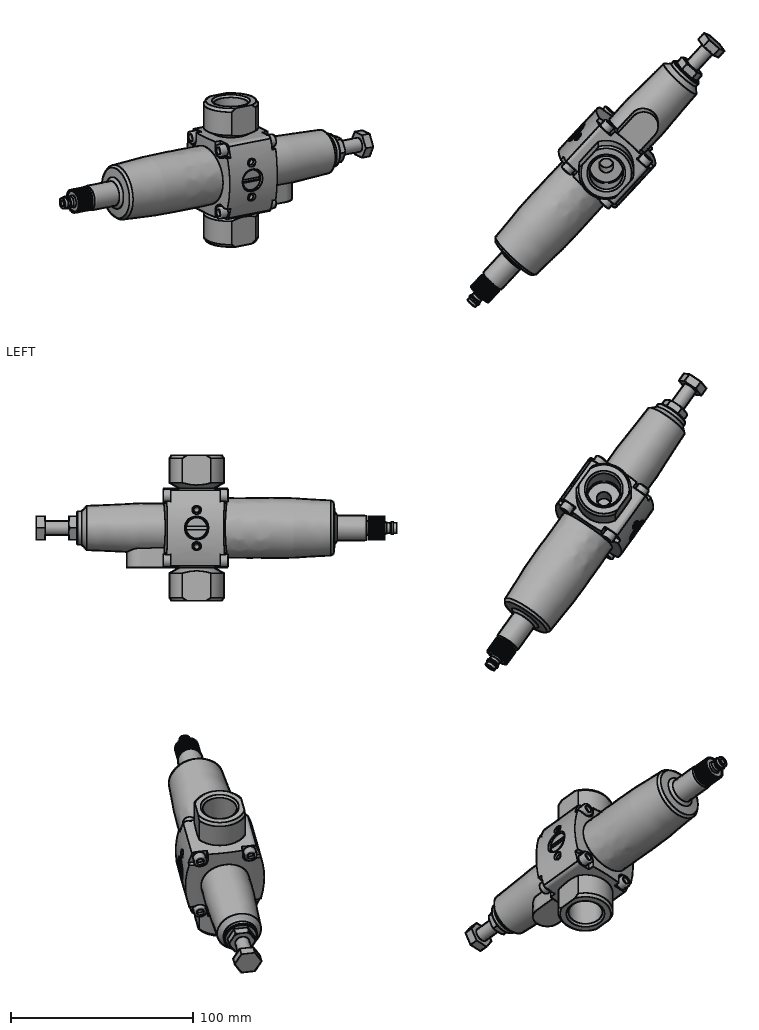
import cadquery as cq
import math


BLOCK_CENTRE_Y = 0.5
BLOCK_HALF_LENGTH = 17.5
END_FACE_SAG = 2.0
BLOCK_HALF_WIDTH = 22.0
BLOCK_HALF_HEIGHT = 21.8
TOP_HALF_WIDTH = 15.5
CORNER_HALF_WIDTH = 18.0
CORNER_DROP = 1.2

PORT_RADIUS = 15.0
PORT_END_Z = 40.0
PORT_LIP_LENGTH = 1.8
PORT_LIP_STEP = 1.2
PORT_CONE_Z = 24.8
PORT_NECK_RADIUS = 9.7
PORT_FLAT_HALF_WIDTH = 12.9
PORT_BORE_RADIUS = 9.3
PORT_MOUTH_RADIUS = 10.5
PORT_FLOOR_Z = 19.8
PASSAGE_RADIUS = 4.0
PASSAGE_FLOOR_Z = 6.0

SCREW_X = 14.0
SCREW_Z = 17.8
SCREW_HEAD_RADIUS = 7.0 / 2
SCREW_HEAD_TOP = 17.8
SCREW_HEAD_ROUND = 0.4
SCREW_SOCKET_RADIUS = 2.0
SCREW_SOCKET_DEPTH = 2.0
POCKET_RADIUS = 4.4
POCKET_FLOOR = 13.7
POCKET_OUTER_Z = 14.7

PLUG_RADIUS = 5.7
PLUG_FACE_X = 21.0
PLUG_LENGTH = 8.0
GAUGE_MOUTH_RADIUS = 6.5
SLOT_WIDTH = 1.8
SLOT_DEPTH = 1.5
SIDE_HOLE_Z = 10.1
SIDE_HOLE_RADIUS = 1.5
SIDE_HOLE_MOUTH_RADIUS = 5.0 / 2
SIDE_HOLE_DEPTH = 4.0

BONNET_RADIUS = 13.7
BONNET_END_RADIUS = 13.5
BONNET_TAPER_Y = 34.0
BONNET_SHOULDER_Y = 60.2
BONNET_SHOULDER_RADIUS = 12.3
BONNET_CONE_Y = 62.0
BONNET_CONE_RADIUS = 10.3
COLLAR_RADIUS = 9.3
COLLAR_BASE_Y = 63.2
COLLAR_TOP_Y = 65.8
COLLAR_CHAMFER = 0.5
PAD_CENTRE_Y = 30.5
PAD_RADIUS = 8.0

HEX_ACROSS_FLATS = 13.0
SCREW_TOP_Y = 88.1
SCREW_HEX_HEIGHT = 5.0
SHANK_RADIUS = 4.0
SHANK_END_Y = 54.3
NUT_HEIGHT = 4.4
NUT_CHAMFER_RADIUS = 7.0
NUT_CHAMFER_HEIGHT = 0.5

BOWL_RADIUS = 16.6
BOWL_END_RADIUS = 16.5
BOWL_TAPER_Y = -53.3
BOWL_SHOULDER_Y = -73.7
BOWL_SHOULDER_RADIUS = 15.3
BOWL_FACE_Y = -75.3
BOWL_FACE_RADIUS = 14.0
STEM_FILLET_RADIUS = 9.0
STEM_FILLET_Y = -75.9
STEM_RADIUS = 7.0
STEM_START_Y = -77.3
STEM_CHAMFER_Y = -91.7
STEM_CHAMFER = 0.2
STEM_END_Y = -93.0

DRAIN_NECK_RADIUS = 4.0
DRAIN_NECK_INSERTION = 6.0
KNURL_START_Y = -94.3
KNURL_END_Y = -103.2
KNURL_RADIUS = 6.5
KNURL_ROOT_RADIUS = 5.7
KNURL_TEETH = 48
KNURL_GROOVE_Y = -99.0
KNURL_GROOVE_WIDTH = 0.5
DRAIN_COLLAR_RADIUS = 7.0 / 2
DRAIN_COLLAR_END_Y = -104.4
NIPPLE_RADIUS = 3.0
NIPPLE_NECK_RADIUS = 5.0 / 2
NIPPLE_NECK_Y = -106.2
BARB_RADIUS = 7.0 / 2
BARB_START_Y = -106.8
BARB_END_Y = -108.0
NIPPLE_END_Y = -110.0
DRAIN_BORE_RADIUS = 0.75
DRAIN_BORE_DEPTH = 6.0
DRAIN_MOUTH_RADIUS = 1.5
DRAIN_MOUTH_DEPTH = 2.0

SIDES = (-1, 1)


def turned_about_y(points):
    """Solid of revolution about Y; each point is (radius, y)."""
    return cq.Workplane("XY").polyline(points).close().revolve(360, (0, 0), (0, 1))


def cylinder_along_y(radius, y_start, y_end, x=0, z=0):
    start = cq.Vector(x, y_start, z)
    direction = cq.Vector(0, math.copysign(1, y_end - y_start), 0)
    return cq.Workplane(cq.Solid.makeCylinder(radius, abs(y_end - y_start), start, direction))


def hexagon_along_y(y_top, height):
    """Hexagonal prism with two corners on the X axis, reaching down from y_top."""
    corner_diameter = HEX_ACROSS_FLATS / math.cos(math.pi / 6)
    return cq.Workplane("XZ", origin=(0, y_top, 0)).polygon(6, corner_diameter).extrude(height)



def housing_block():
    """Barrel-sided section along Y, limited by end faces that curve about Z."""
    corner_z = BLOCK_HALF_HEIGHT - CORNER_DROP
    bend_x = (TOP_HALF_WIDTH + 2 * CORNER_HALF_WIDTH) / 3
    bend_z = BLOCK_HALF_HEIGHT - CORNER_DROP / 3
    section = (
        cq.Workplane("XZ", origin=(0, BLOCK_CENTRE_Y, 0))
        .moveTo(-TOP_HALF_WIDTH, BLOCK_HALF_HEIGHT)
        .lineTo(TOP_HALF_WIDTH, BLOCK_HALF_HEIGHT)
        .threePointArc((bend_x, bend_z), (CORNER_HALF_WIDTH, corner_z))
        .threePointArc((BLOCK_HALF_WIDTH, 0), (CORNER_HALF_WIDTH, -corner_z))
        .threePointArc((bend_x, -bend_z), (TOP_HALF_WIDTH, -BLOCK_HALF_HEIGHT))
        .lineTo(-TOP_HALF_WIDTH, -BLOCK_HALF_HEIGHT)
        .threePointArc((-bend_x, -bend_z), (-CORNER_HALF_WIDTH, -corner_z))
        .threePointArc((-BLOCK_HALF_WIDTH, 0), (-CORNER_HALF_WIDTH, corner_z))
        .threePointArc((-bend_x, bend_z), (-TOP_HALF_WIDTH, BLOCK_HALF_HEIGHT))
        .close()
        .extrude(BLOCK_HALF_LENGTH, both=True)
    )
    side_y = BLOCK_HALF_LENGTH - END_FACE_SAG
    plan = (
        cq.Workplane("XY", origin=(0, BLOCK_CENTRE_Y, 0))
        .moveTo(-BLOCK_HALF_WIDTH, -side_y)
        .threePointArc((0, -BLOCK_HALF_LENGTH), (BLOCK_HALF_WIDTH, -side_y))
        .lineTo(BLOCK_HALF_WIDTH, side_y)
        .threePointArc((0, BLOCK_HALF_LENGTH), (-BLOCK_HALF_WIDTH, side_y))
        .close()
        .extrude(BLOCK_HALF_HEIGHT, both=True)
    )
    return section.intersect(plan)


def port(side):
    """Round port with two spanner flats, joined to the block by a cone."""
    outline = [
        (0, 0),
        (PORT_NECK_RADIUS, 0),
        (PORT_NECK_RADIUS, BLOCK_HALF_HEIGHT),
        (PORT_RADIUS, PORT_CONE_Z),
        (PORT_RADIUS, PORT_END_Z - PORT_LIP_LENGTH),
        (PORT_RADIUS - PORT_LIP_STEP, PORT_END_Z),
        (0, PORT_END_Z),
    ]
    body = cq.Workplane("XZ").polyline(outline).close().revolve(360, (0, 0), (0, 1))
    flats = cq.Workplane("XY").box(2 * PORT_FLAT_HALF_WIDTH, 2 * PORT_RADIUS, 2 * PORT_END_Z)
    body = body.intersect(flats)
    return body if side > 0 else body.mirror("XY")


def port_bore(side):
    """Stepped blind bore with a chamfered mouth."""
    mouth_z = PORT_END_Z - (PORT_MOUTH_RADIUS - PORT_BORE_RADIUS)
    outline = [
        (0, PASSAGE_FLOOR_Z),
        (PASSAGE_RADIUS, PASSAGE_FLOOR_Z),
        (PASSAGE_RADIUS, PORT_FLOOR_Z),
        (PORT_BORE_RADIUS, PORT_FLOOR_Z),
        (PORT_BORE_RADIUS, mouth_z),
        (PORT_MOUTH_RADIUS, PORT_END_Z),
        (0, PORT_END_Z),
    ]
    bore = cq.Workplane("XZ").polyline(outline).close().revolve(360, (0, 0), (0, 1))
    return bore if side > 0 else bore.mirror("XY")


def corner_pocket(end, x_side, z_side):
    """Recess round a screw head, open towards the nearest corner of the block."""
    floor_y = BLOCK_CENTRE_Y + end * POCKET_FLOOR
    rim_y = BLOCK_CENTRE_Y + end * (BLOCK_HALF_LENGTH + 2)
    x = x_side * SCREW_X
    recess = cylinder_along_y(POCKET_RADIUS, floor_y, rim_y, x, z_side * SCREW_Z)
    depth = abs(rim_y - floor_y)
    middle_y = (floor_y + rim_y) / 2
    side_width = BLOCK_HALF_WIDTH - SCREW_X
    side_height = BLOCK_HALF_HEIGHT - POCKET_OUTER_Z
    side_opening = cq.Workplane("XY").box(side_width, depth, side_height).translate((
        x + x_side * side_width / 2,
        middle_y,
        z_side * (POCKET_OUTER_Z + side_height / 2),
    ))
    upper_height = BLOCK_HALF_HEIGHT - SCREW_Z
    upper_opening = cq.Workplane("XY").box(2 * POCKET_RADIUS, depth, upper_height).translate((
        x,
        middle_y,
        z_side * (SCREW_Z + upper_height / 2),
    ))
    return recess.union(side_opening).union(upper_opening)


def screw_head(end, x_side, z_side):
    """Round-edged socket head standing on the floor of its pocket."""
    floor_y = BLOCK_CENTRE_Y + end * POCKET_FLOOR
    top_y = BLOCK_CENTRE_Y + end * SCREW_HEAD_TOP
    x = x_side * SCREW_X
    z = z_side * SCREW_Z
    head = cylinder_along_y(SCREW_HEAD_RADIUS, floor_y, top_y, x, z)
    head = head.faces(">Y" if end > 0 else "<Y").edges().fillet(SCREW_HEAD_ROUND)
    socket = cylinder_along_y(SCREW_SOCKET_RADIUS, top_y - end * SCREW_SOCKET_DEPTH, top_y, x, z)
    return head.cut(socket)


def gauge_port(side):
    """Plug hole in a barrel side, opening in a short cone outside the plug face."""
    mouth_x = PLUG_FACE_X + GAUGE_MOUTH_RADIUS - PLUG_RADIUS
    outline = [
        (PLUG_FACE_X - PLUG_LENGTH, 0),
        (PLUG_FACE_X - PLUG_LENGTH, PLUG_RADIUS),
        (PLUG_FACE_X, PLUG_RADIUS),
        (mouth_x, GAUGE_MOUTH_RADIUS),
        (BLOCK_HALF_WIDTH, GAUGE_MOUTH_RADIUS),
        (BLOCK_HALF_WIDTH, 0),
    ]
    hole = cq.Workplane("XZ").polyline(outline).close().revolve(360, (0, 0), (1, 0))
    return hole if side > 0 else hole.mirror("YZ")


def side_hole(side, z_side):
    """Small countersunk blind hole beside a gauge port, with a drill-point floor."""
    mouth_x = PLUG_FACE_X
    countersink_x = mouth_x - (SIDE_HOLE_MOUTH_RADIUS - SIDE_HOLE_RADIUS)
    floor_x = mouth_x - SIDE_HOLE_DEPTH
    outline = [
        (floor_x - SIDE_HOLE_RADIUS, 0),
        (floor_x, SIDE_HOLE_RADIUS),
        (countersink_x, SIDE_HOLE_RADIUS),
        (mouth_x, SIDE_HOLE_MOUTH_RADIUS),
        (BLOCK_HALF_WIDTH, SIDE_HOLE_MOUTH_RADIUS),
        (BLOCK_HALF_WIDTH, 0),
    ]
    hole = cq.Workplane("XZ").polyline(outline).close().revolve(360, (0, 0), (1, 0))
    hole = hole.translate((0, 0, z_side * SIDE_HOLE_Z))
    return hole if side > 0 else hole.mirror("YZ")


def make_housing():
    housing = housing_block()
    for side in SIDES:
        housing = housing.union(port(side)).cut(port_bore(side)).cut(gauge_port(side))
        for z_side in SIDES:
            housing = housing.cut(side_hole(side, z_side))
    for end in SIDES:
        for x_side in SIDES:
            for z_side in SIDES:
                housing = housing.cut(corner_pocket(end, x_side, z_side))
                housing = housing.union(screw_head(end, x_side, z_side))
    return housing



def make_plug(side):
    """Round gauge-port plug with a screwdriver slot along Y."""
    inner_face = cq.Workplane("YZ", origin=(PLUG_FACE_X - PLUG_LENGTH, 0, 0))
    plug = inner_face.circle(PLUG_RADIUS).extrude(PLUG_LENGTH)
    slot = cq.Workplane("XY").box(2 * SLOT_DEPTH, 2 * PLUG_RADIUS, SLOT_WIDTH).translate((PLUG_FACE_X, 0, 0))
    plug = plug.cut(slot)
    return plug if side > 0 else plug.mirror("YZ")


def make_bonnet():
    """Spring bonnet seated on the curved +Y end of the block, with a mounting pad below."""
    seat_y = BLOCK_CENTRE_Y + BLOCK_HALF_LENGTH
    shell = (
        cq.Workplane("XY")
        .lineTo(BONNET_END_RADIUS, 0)
        .lineTo(BONNET_END_RADIUS, seat_y)
        .threePointArc((BONNET_RADIUS, (seat_y + BONNET_TAPER_Y) / 2), (BONNET_END_RADIUS, BONNET_TAPER_Y))
        .lineTo(BONNET_SHOULDER_RADIUS, BONNET_SHOULDER_Y)
        .lineTo(BONNET_CONE_RADIUS, BONNET_CONE_Y)
        .lineTo(COLLAR_RADIUS, COLLAR_BASE_Y)
        .lineTo(COLLAR_RADIUS, COLLAR_TOP_Y - COLLAR_CHAMFER)
        .lineTo(COLLAR_RADIUS - COLLAR_CHAMFER, COLLAR_TOP_Y)
        .lineTo(0, COLLAR_TOP_Y)
        .close()
        .revolve(360, (0, 0), (0, 1))
    )
    pad = (
        cq.Workplane("XY", origin=(0, 0, -BLOCK_HALF_HEIGHT))
        .moveTo(-PAD_RADIUS, 0)
        .lineTo(PAD_RADIUS, 0)
        .lineTo(PAD_RADIUS, PAD_CENTRE_Y)
        .threePointArc((0, PAD_CENTRE_Y + PAD_RADIUS), (-PAD_RADIUS, PAD_CENTRE_Y))
        .close()
        .extrude(BLOCK_HALF_HEIGHT)
    )
    shank_hole = cylinder_along_y(SHANK_RADIUS, SHANK_END_Y, COLLAR_TOP_Y)
    return shell.union(pad).cut(housing_block()).cut(shank_hole)


def make_adjusting_screw():
    head = hexagon_along_y(SCREW_TOP_Y, SCREW_HEX_HEIGHT)
    shank = cylinder_along_y(SHANK_RADIUS, SHANK_END_Y, SCREW_TOP_Y - SCREW_HEX_HEIGHT)
    return head.union(shank)


def make_lock_nut():
    """Hexagon nut with its corners chamfered on the upper side."""
    top_y = COLLAR_TOP_Y + NUT_HEIGHT
    corner_radius = HEX_ACROSS_FLATS / 2 / math.cos(math.pi / 6)
    chamfer_limit = turned_about_y([
        (SHANK_RADIUS, COLLAR_TOP_Y),
        (corner_radius, COLLAR_TOP_Y),
        (corner_radius, top_y - NUT_CHAMFER_HEIGHT),
        (NUT_CHAMFER_RADIUS, top_y),
        (SHANK_RADIUS, top_y),
    ])
    return hexagon_along_y(top_y, NUT_HEIGHT).intersect(chamfer_limit)


def make_bowl():
    """Filter bowl seated on the curved -Y end of the block, with a drain stem."""
    seat_y = BLOCK_CENTRE_Y - BLOCK_HALF_LENGTH
    shell = (
        cq.Workplane("XY")
        .lineTo(BOWL_END_RADIUS, 0)
        .lineTo(BOWL_END_RADIUS, seat_y)
        .threePointArc((BOWL_RADIUS, (seat_y + BOWL_TAPER_Y) / 2), (BOWL_END_RADIUS, BOWL_TAPER_Y))
        .lineTo(BOWL_SHOULDER_RADIUS, BOWL_SHOULDER_Y)
        .lineTo(BOWL_FACE_RADIUS, BOWL_FACE_Y)
        .lineTo(STEM_FILLET_RADIUS, STEM_FILLET_Y)
        .lineTo(STEM_RADIUS, STEM_START_Y)
        .lineTo(STEM_RADIUS, STEM_CHAMFER_Y)
        .lineTo(STEM_RADIUS - STEM_CHAMFER, STEM_END_Y)
        .lineTo(0, STEM_END_Y)
        .close()
        .revolve(360, (0, 0), (0, 1))
    )
    neck_hole = cylinder_along_y(DRAIN_NECK_RADIUS, STEM_END_Y + DRAIN_NECK_INSERTION, STEM_END_Y)
    return shell.cut(housing_block()).cut(neck_hole)


def knurled_grip():
    """Straight-toothed grip with a ring groove between its two halves."""
    points = []
    for tooth in range(KNURL_TEETH):
        for radius, step in ((KNURL_RADIUS, tooth), (KNURL_ROOT_RADIUS, tooth + 0.5)):
            angle = 2 * math.pi * step / KNURL_TEETH
            points.append((radius * math.cos(angle), radius * math.sin(angle)))
    grip = (
        cq.Workplane("XZ", origin=(0, KNURL_START_Y, 0))
        .polyline(points)
        .close()
        .extrude(KNURL_START_Y - KNURL_END_Y)
    )
    groove_end_y = KNURL_GROOVE_Y - KNURL_GROOVE_WIDTH
    ring = cylinder_along_y(KNURL_RADIUS, KNURL_GROOVE_Y, groove_end_y)
    core = cylinder_along_y(KNURL_ROOT_RADIUS, KNURL_GROOVE_Y, groove_end_y)
    return grip.cut(ring.cut(core))


def make_drain_screw():
    """Neck, knurled grip and barbed hose nipple in one piece."""
    spindle = turned_about_y([
        (0, STEM_END_Y + DRAIN_NECK_INSERTION),
        (DRAIN_NECK_RADIUS, STEM_END_Y + DRAIN_NECK_INSERTION),
        (DRAIN_NECK_RADIUS, KNURL_END_Y),
        (DRAIN_COLLAR_RADIUS, KNURL_END_Y),
        (NIPPLE_RADIUS, DRAIN_COLLAR_END_Y),
        (NIPPLE_RADIUS, NIPPLE_NECK_Y),
        (NIPPLE_NECK_RADIUS, NIPPLE_NECK_Y),
        (NIPPLE_NECK_RADIUS, BARB_START_Y),
        (BARB_RADIUS, BARB_START_Y),
        (BARB_RADIUS, BARB_END_Y),
        (NIPPLE_RADIUS, BARB_END_Y),
        (NIPPLE_RADIUS, NIPPLE_END_Y),
        (0, NIPPLE_END_Y),
    ])
    bore = cylinder_along_y(DRAIN_BORE_RADIUS, NIPPLE_END_Y + DRAIN_BORE_DEPTH, NIPPLE_END_Y)
    mouth = cylinder_along_y(DRAIN_MOUTH_RADIUS, NIPPLE_END_Y + DRAIN_MOUTH_DEPTH, NIPPLE_END_Y)
    return spindle.union(knurled_grip()).cut(bore).cut(mouth)


housing = make_housing()
plugs = [make_plug(side) for side in SIDES]
bonnet = make_bonnet()
adjusting_screw = make_adjusting_screw()
lock_nut = make_lock_nut()
bowl = make_bowl()
drain_screw = make_drain_screw()

result = cq.Compound.makeCompound([
    housing.solids().val(),
    *[plug.solids().val() for plug in plugs],
    bonnet.solids().val(),
    adjusting_screw.solids().val(),
    lock_nut.solids().val(),
    bowl.solids().val(),
    drain_screw.solids().val(),
])